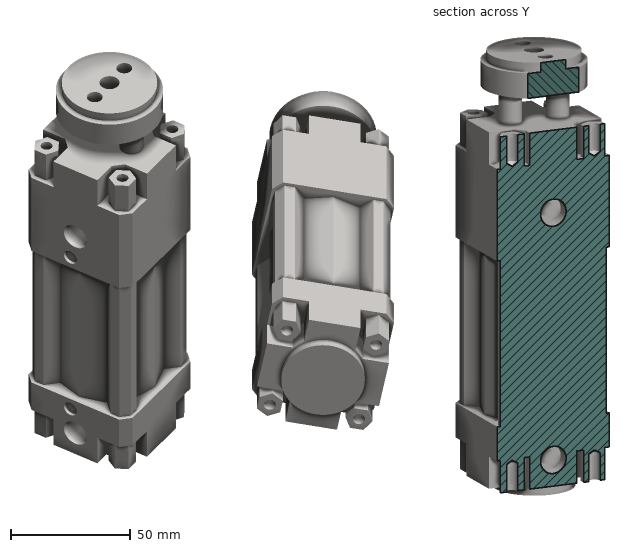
import cadquery as cq
import math

spigot_height = 4.0
lower_head_height = 29.0
barrel_length = 72.0
upper_head_height = 54.0
rod_length = 15.0
plate_flange_thickness = 11.0
plate_step_thickness = 4.0

lower_head_z = spigot_height
barrel_z = lower_head_z + lower_head_height
upper_head_z = barrel_z + barrel_length
housing_top_z = upper_head_z + upper_head_height
plate_z = housing_top_z + rod_length

head_width = 52.0
head_chamfer = 4.0
spigot_diameter = 35.0

pocket_depth = 14.0
pocket_inner_edge = 11.0
pocket_corner_chamfer = 4.0
nut_offset = 19.0
nut_across_flats = 10.0
nut_hole_diameter = 5.0
nut_hole_depth = 12.0
nut_hole_tip_angle = 118.0

barrel_half_width = 24.6
post_chamfer = 3.5
post_inner_edge = 16.8
groove_depth = 5.0
ridge_height = 3.2

port_diameter = 11.6
port_depth = 12.0
upper_port_height = 18.0
lower_port_height = 11.5
upper_port_z = upper_head_z + upper_port_height
lower_port_z = lower_head_z + lower_port_height
recess_diameter = 6.5
recess_depth = 1.5
recess_x = -2.5
recess_edge_distance = 5.5

flange_diameter = 45.0
step_diameter = 40.0
rod_diameter = 10.0
rod_offset = 11.0
center_hole_diameter = 8.38
side_hole_diameter = 6.65
side_hole_offset = 11.25


def corner_pocket(z):
    """Cutter for the pocket at the +X +Y corner, with a chamfered inner corner."""
    size = head_width / 2 - pocket_inner_edge
    middle = pocket_inner_edge + size / 2
    return (
        cq.Workplane("XY", origin=(middle, middle, z))
        .rect(size, size)
        .extrude(pocket_depth)
        .edges("|Z and <X and <Y")
        .chamfer(pocket_corner_chamfer)
    )


def corner_nut(z):
    """Hexagonal nut at the +X +Y corner, with two vertices along X."""
    vertex_diameter = nut_across_flats / math.cos(math.pi / 6)
    return (
        cq.Workplane("XY", origin=(nut_offset, nut_offset, z))
        .polygon(6, vertex_diameter)
        .extrude(pocket_depth)
    )


def nut_hole():
    """Drilled hole with a conical tip, entering downwards from the origin."""
    radius = nut_hole_diameter / 2
    tip_height = radius / math.tan(math.radians(nut_hole_tip_angle / 2))
    return (
        cq.Workplane("XZ")
        .moveTo(0, 0)
        .lineTo(radius, 0)
        .lineTo(radius, -nut_hole_depth)
        .lineTo(0, -nut_hole_depth - tip_height)
        .close()
        .revolve(360, (0, 0, 0), (0, 1, 0))
    )


def head(z, height, pocket_z):
    """End head with chamfered corners, four pockets and a nut in each pocket."""
    block = (
        cq.Workplane("XY", origin=(0, 0, z))
        .rect(head_width, head_width)
        .extrude(height)
        .edges("|Z")
        .chamfer(head_chamfer)
    )
    for quarter in range(4):
        turn = ((0, 0, 0), (0, 0, 1), 90 * quarter)
        block = block.cut(corner_pocket(pocket_z).rotate(*turn))
        block = block.union(corner_nut(pocket_z).rotate(*turn))
    return block


def barrel():
    """Fluted barrel: one side of the outline, repeated by quarter turns."""
    post_edge = barrel_half_width - post_chamfer
    groove_x = post_inner_edge - groove_depth
    groove_y = barrel_half_width - groove_depth
    side = [
        (-post_edge, -barrel_half_width),
        (-post_inner_edge, -barrel_half_width),
        (-groove_x, -groove_y),
        (0, -groove_y - ridge_height),
        (groove_x, -groove_y),
        (post_inner_edge, -barrel_half_width),
        (post_edge, -barrel_half_width),
    ]
    outline = []
    for _ in range(4):
        outline += side
        side = [(-y, x) for x, y in side]
    return cq.Workplane("XY", origin=(0, 0, barrel_z)).polyline(outline).close().extrude(barrel_length)


def front_hole(x, z, diameter, depth):
    """Cutter for a flat-bottomed hole entering the -Y face of a head."""
    return (
        cq.Workplane("XZ", origin=(x, -head_width / 2, z))
        .circle(diameter / 2)
        .extrude(-depth)
    )


def build_housing():
    """Both heads, barrel, nuts and bottom spigot as one body."""
    body = barrel()
    body = body.union(head(lower_head_z, lower_head_height, lower_head_z))
    body = body.union(head(upper_head_z, upper_head_height, housing_top_z - pocket_depth))
    body = body.union(cq.Workplane("XY").circle(spigot_diameter / 2).extrude(spigot_height))

    lower_hole = nut_hole().rotate((0, 0, 0), (1, 0, 0), 180)
    for x in (-nut_offset, nut_offset):
        for y in (-nut_offset, nut_offset):
            body = body.cut(nut_hole().translate((x, y, housing_top_z)))
            body = body.cut(lower_hole.translate((x, y, lower_head_z)))

    for z in (lower_port_z, upper_port_z):
        body = body.cut(front_hole(0, z, port_diameter, port_depth))
    for z in (barrel_z - recess_edge_distance, upper_head_z + recess_edge_distance):
        body = body.cut(front_hole(recess_x, z, recess_diameter, recess_depth))
    return body


def build_plate():
    """Stepped round plate with three through holes, on two rods that reach the housing top."""
    flange = (
        cq.Workplane("XY", origin=(0, 0, plate_z))
        .circle(flange_diameter / 2)
        .extrude(plate_flange_thickness)
    )
    step = flange.faces(">Z").workplane().circle(step_diameter / 2).extrude(plate_step_thickness)
    drilled = (
        step.faces(">Z")
        .workplane()
        .hole(center_hole_diameter)
        .faces(">Z")
        .workplane()
        .pushPoints([(0, -side_hole_offset), (0, side_hole_offset)])
        .hole(side_hole_diameter)
    )
    rods = (
        cq.Workplane("XY", origin=(0, 0, housing_top_z))
        .pushPoints([(-rod_offset, 0), (rod_offset, 0)])
        .circle(rod_diameter / 2)
        .extrude(rod_length)
    )
    return drilled.union(rods)


housing = build_housing()
plate = build_plate()
result = cq.Compound.makeCompound([housing.val(), plate.val()])